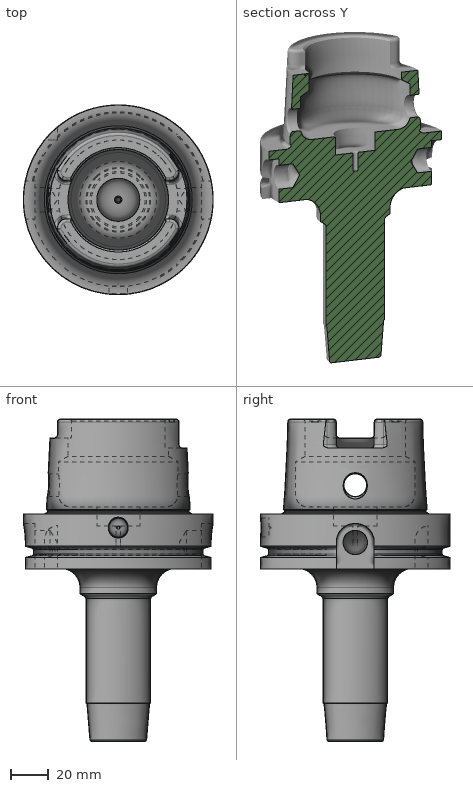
import cadquery as cq
import math


TAPER_HEIGHT = 50.0
GAUGE_RADIUS = 37.5
GAUGE_HEIGHT = 10.0
TAPER_SLOPE = 0.5 / 9.98

RELIEF_TOP = 2.4
RELIEF_BOTTOM = 1.0
RELIEF_DEPTH = 0.6
FOOT_RADIUS = 39.0

MOUTH_RADIUS = 26.5
MOUTH_CHAMFER = 1.0
MOUTH_END = 30.4
CAVITY_RADIUS = 31.5
CLAMP_ANGLE = 30.0
CAVITY_FLOOR = 3.7
CAVITY_FLOOR_ROUND = 6.6
COOLANT_SEAT_RADIUS = 11.35
COOLANT_SEAT_DEPTH = 10.0
COOLANT_HOLE_RADIUS = 1.3
COOLANT_HOLE_CHAMFER = 0.6
COOLANT_HOLE_DEPTH = 10.0

DRIVE_SLOT_WIDTH = 20.0
DRIVE_CORNER_RADIUS = 5.0
DRIVE_CORNER_START = 27.0
DRIVE_FLOOR_ROUND = 2.0
KEY_EDGE_ROUND = 1.7
SHALLOW_SLOT_DEPTH = 10.0
DEEP_SLOT_DEPTH = 15.3

ACCESS_HOLE_RADIUS = 6.0
ACCESS_HOLE_HEIGHT = 15.2
COUNTERSINK_START = 36.35

FLANGE_RADIUS = 50.0
FLANGE_THICKNESS = 29.0
GROOVE_CENTRE = -20.0
GROOVE_RADIUS = 45.8
GROOVE_FLAT_HALF_WIDTH = 1.2
GROOVE_ROUND = 0.8
GROOVE_FLANK_ANGLE = 16.0

KEYWAY_WIDTH = 20.0
KEYWAY_FLOOR = 44.0
KEYWAY_CENTRE = -15.0
KEYWAY_HOLE_RADIUS = 6.4
KEYWAY_HOLE_DEPTH = 8.0
DRILL_POINT_ANGLE = 118.0

NOTCH_RADIUS = 8.0
NOTCH_FLOOR = 32.0
NOTCH_Y = 39.5
NOTCH_CENTRE = -14.0

CHIP_RADIUS = 5.0
CHIP_MOUTH_RADIUS = 5.5
CHIP_CENTRE = -7.2
CHIP_DEPTH = 4.6
CHIP_PILOT_RADIUS = 0.8
CHIP_PILOT_DEPTH = 1.0

SHANK_END = -119.9
NECK_RADIUS = 20.2
NECK_FILLET = 10.0
NECK_FILLET_END = -38.7
NECK_END = -42.0
NECK_CHAMFER_RADIUS = 18.2
NECK_CHAMFER_END = -43.2
SHANK_RADIUS = 17.0
SHANK_FILLET_END = -44.5
TIP_START = -100.0
TIP_TOP_RADIUS = 16.5
TIP_SLOPE_ANGLE = 4.5
TIP_CHAMFER = 0.8

OUTSIDE = 80.0


def taper_radius(z):
    return GAUGE_RADIUS - (z - GAUGE_HEIGHT) * TAPER_SLOPE


def make_body():
    """Solid of revolution carrying the whole outer outline."""
    flank = math.radians(GROOVE_FLANK_ANGLE)
    round_radius = GROOVE_RADIUS + GROOVE_ROUND * (1 - math.sin(flank))
    round_half_width = GROOVE_FLAT_HALF_WIDTH + GROOVE_ROUND * math.cos(flank)
    half_turn = (math.pi / 2 - flank) / 2
    middle_radius = GROOVE_RADIUS + GROOVE_ROUND * (1 - math.cos(half_turn))
    middle_half_width = GROOVE_FLAT_HALF_WIDTH + GROOVE_ROUND * math.sin(half_turn)
    mouth_half_width = round_half_width + (FLANGE_RADIUS - round_radius) * math.tan(flank)

    relief_radius = taper_radius(RELIEF_TOP) - RELIEF_DEPTH
    fillet_rise = -FLANGE_THICKNESS - NECK_FILLET_END
    fillet_turn = math.asin(fillet_rise / NECK_FILLET)

    def neck_fillet_point(turn):
        return (
            NECK_RADIUS + NECK_FILLET * (1 - math.cos(turn)),
            NECK_FILLET_END + NECK_FILLET * math.sin(turn),
        )

    tip_height = TIP_START - SHANK_END
    tip_radius = TIP_TOP_RADIUS - tip_height * math.tan(math.radians(TIP_SLOPE_ANGLE))
    return (
        cq.Workplane("XZ")
        .moveTo(0, TAPER_HEIGHT)
        .lineTo(taper_radius(TAPER_HEIGHT), TAPER_HEIGHT)
        .lineTo(taper_radius(RELIEF_TOP), RELIEF_TOP)
        .lineTo(relief_radius, RELIEF_TOP - RELIEF_DEPTH)
        .lineTo(relief_radius, RELIEF_BOTTOM)
        .lineTo(FOOT_RADIUS, 0)
        .lineTo(FLANGE_RADIUS, 0)
        .lineTo(FLANGE_RADIUS, GROOVE_CENTRE + mouth_half_width)
        .lineTo(round_radius, GROOVE_CENTRE + round_half_width)
        .threePointArc(
            (middle_radius, GROOVE_CENTRE + middle_half_width),
            (GROOVE_RADIUS, GROOVE_CENTRE + GROOVE_FLAT_HALF_WIDTH),
        )
        .lineTo(GROOVE_RADIUS, GROOVE_CENTRE - GROOVE_FLAT_HALF_WIDTH)
        .threePointArc(
            (middle_radius, GROOVE_CENTRE - middle_half_width),
            (round_radius, GROOVE_CENTRE - round_half_width),
        )
        .lineTo(FLANGE_RADIUS, GROOVE_CENTRE - mouth_half_width)
        .lineTo(FLANGE_RADIUS, -FLANGE_THICKNESS)
        .lineTo(*neck_fillet_point(fillet_turn))
        .threePointArc(neck_fillet_point(fillet_turn / 2), neck_fillet_point(0))
        .lineTo(NECK_RADIUS, NECK_END)
        .lineTo(NECK_CHAMFER_RADIUS, NECK_CHAMFER_END)
        .tangentArcPoint((SHANK_RADIUS, SHANK_FILLET_END), relative=False)
        .lineTo(SHANK_RADIUS, TIP_START + SHANK_RADIUS - TIP_TOP_RADIUS)
        .lineTo(TIP_TOP_RADIUS, TIP_START)
        .lineTo(tip_radius, SHANK_END + TIP_CHAMFER)
        .lineTo(tip_radius - TIP_CHAMFER, SHANK_END)
        .lineTo(0, SHANK_END)
        .close()
        .revolve(360, (0, 0, 0), (0, 1, 0))
    )


def make_cavity():
    """Hollow of the taper, with its clamping shoulder, rounded floor and coolant hole."""
    shoulder_height = (CAVITY_RADIUS - MOUTH_RADIUS) * math.tan(math.radians(CLAMP_ANGLE))
    seat = CAVITY_FLOOR - COOLANT_SEAT_DEPTH
    return (
        cq.Workplane("XZ")
        .moveTo(0, TAPER_HEIGHT)
        .lineTo(MOUTH_RADIUS, TAPER_HEIGHT)
        .lineTo(MOUTH_RADIUS, MOUTH_END)
        .lineTo(CAVITY_RADIUS, MOUTH_END - shoulder_height)
        .lineTo(CAVITY_RADIUS, CAVITY_FLOOR + CAVITY_FLOOR_ROUND)
        .tangentArcPoint((CAVITY_RADIUS - CAVITY_FLOOR_ROUND, CAVITY_FLOOR), relative=False)
        .lineTo(COOLANT_SEAT_RADIUS, CAVITY_FLOOR)
        .lineTo(COOLANT_SEAT_RADIUS, seat)
        .lineTo(COOLANT_HOLE_RADIUS + COOLANT_HOLE_CHAMFER, seat)
        .lineTo(COOLANT_HOLE_RADIUS, seat - COOLANT_HOLE_CHAMFER)
        .lineTo(COOLANT_HOLE_RADIUS, seat - COOLANT_HOLE_DEPTH)
        .lineTo(0, seat - COOLANT_HOLE_DEPTH)
        .close()
        .revolve(360, (0, 0, 0), (0, 1, 0))
    )


def make_mouth_chamfer():
    """Cutter for the chamfer around the mouth of the cavity."""
    return (
        cq.Workplane("XZ")
        .moveTo(0, TAPER_HEIGHT)
        .lineTo(MOUTH_RADIUS + MOUTH_CHAMFER, TAPER_HEIGHT)
        .lineTo(MOUTH_RADIUS, TAPER_HEIGHT - MOUTH_CHAMFER)
        .lineTo(0, TAPER_HEIGHT - MOUTH_CHAMFER)
        .close()
        .revolve(360, (0, 0, 0), (0, 1, 0))
    )


def make_drive_slot(side, depth):
    """Cutter for one drive slot; side is -1 or +1 along X. It flares where it leaves the wall."""
    half_width = DRIVE_SLOT_WIDTH / 2
    flare_x = DRIVE_CORNER_START + DRIVE_CORNER_RADIUS
    flare_y = half_width + DRIVE_CORNER_RADIUS
    return (
        cq.Workplane("XY", origin=(0, 0, TAPER_HEIGHT - depth))
        .moveTo(0, -half_width)
        .lineTo(side * DRIVE_CORNER_START, -half_width)
        .tangentArcPoint((side * flare_x, -flare_y), relative=False)
        .lineTo(side * flare_x, -OUTSIDE)
        .lineTo(side * OUTSIDE, -OUTSIDE)
        .lineTo(side * OUTSIDE, OUTSIDE)
        .lineTo(side * flare_x, OUTSIDE)
        .lineTo(side * flare_x, flare_y)
        .tangentArcPoint((side * DRIVE_CORNER_START, half_width), relative=False)
        .lineTo(0, half_width)
        .close()
        .extrude(depth)
        .faces("<Z")
        .edges()
        .fillet(DRIVE_FLOOR_ROUND)
    )


def make_access_hole(side):
    """Cutter for one clamping access hole with its countersink."""
    outer_end = FOOT_RADIUS
    countersink_depth = outer_end - COUNTERSINK_START
    return (
        cq.Workplane("XZ", origin=(0, 0, ACCESS_HOLE_HEIGHT))
        .lineTo(0, ACCESS_HOLE_RADIUS)
        .lineTo(side * COUNTERSINK_START, ACCESS_HOLE_RADIUS)
        .lineTo(side * outer_end, ACCESS_HOLE_RADIUS + countersink_depth)
        .lineTo(side * outer_end, 0)
        .close()
        .revolve(360, (0, 0, 0), (1, 0, 0))
    )


def make_round_topped_slot(y, z, radius, floor, side):
    """Cutter open downwards and outwards along X, with a round top."""
    length = OUTSIDE - floor
    plane = cq.Workplane("YZ", origin=(side * floor, y, z))
    bottom = -FLANGE_THICKNESS - z
    return (
        plane.moveTo(-radius, bottom)
        .lineTo(-radius, 0)
        .threePointArc((0, radius), (radius, 0))
        .lineTo(radius, bottom)
        .close()
        .extrude(side * length)
    )


def make_keyway(side):
    """Cutter for one keyway and the drilled hole in its floor."""
    slot = make_round_topped_slot(0, KEYWAY_CENTRE, KEYWAY_WIDTH / 2, KEYWAY_FLOOR, side)
    point_length = KEYWAY_HOLE_RADIUS / math.tan(math.radians(DRILL_POINT_ANGLE / 2))
    hole_end = KEYWAY_FLOOR - KEYWAY_HOLE_DEPTH
    hole = (
        cq.Workplane("XZ", origin=(0, 0, KEYWAY_CENTRE))
        .moveTo(side * KEYWAY_FLOOR, 0)
        .lineTo(side * KEYWAY_FLOOR, KEYWAY_HOLE_RADIUS)
        .lineTo(side * hole_end, KEYWAY_HOLE_RADIUS)
        .lineTo(side * (hole_end - point_length), 0)
        .close()
        .revolve(360, (0, 0, 0), (1, 0, 0))
    )
    return slot.union(hole)


def make_chip_pocket():
    """Cutter for the data chip pocket with its flared mouth and pilot dimple."""
    flare = CHIP_MOUTH_RADIUS - CHIP_RADIUS
    floor = FLANGE_RADIUS - CHIP_DEPTH
    dimple_end = floor - CHIP_PILOT_DEPTH
    return (
        cq.Workplane("XY", origin=(0, 0, CHIP_CENTRE))
        .moveTo(0, -FLANGE_RADIUS)
        .lineTo(CHIP_MOUTH_RADIUS, -FLANGE_RADIUS)
        .lineTo(CHIP_RADIUS, -FLANGE_RADIUS + flare)
        .lineTo(CHIP_RADIUS, -floor)
        .lineTo(CHIP_PILOT_RADIUS, -floor)
        .lineTo(0, -dimple_end)
        .close()
        .revolve(360, (0, 0, 0), (0, 1, 0))
    )


result = make_body()
for side, depth in ((-1, SHALLOW_SLOT_DEPTH), (1, DEEP_SLOT_DEPTH)):
    result = result.cut(make_drive_slot(side, depth))

result = result.faces(">Z").edges().fillet(KEY_EDGE_ROUND)

result = result.cut(make_cavity())
result = result.cut(make_mouth_chamfer())

for side in (-1, 1):
    result = result.cut(make_access_hole(side))
    result = result.cut(make_keyway(side))

result = result.cut(make_round_topped_slot(NOTCH_Y, NOTCH_CENTRE, NOTCH_RADIUS, NOTCH_FLOOR, -1))
result = result.cut(make_chip_pocket())